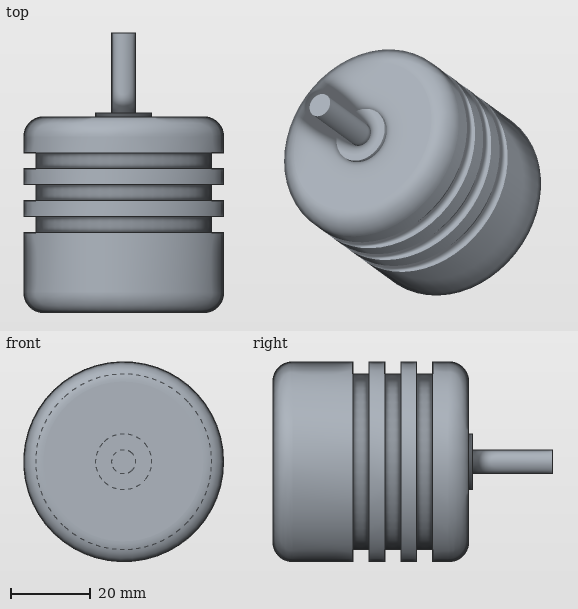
import cadquery as cq

body_diameter = 50.0
body_length = 49.0
body_edge_radius = 5.0

groove_diameter = 44.0
groove_width = 4.0
groove_pitch = 8.0
groove_count = 3
first_groove_start = 20.0

boss_diameter = 14.0
boss_height = 1.0
shaft_diameter = 6.0
shaft_length = 20.0


def cylinder_along_y(diameter, start, length):
    """Solid cylinder on the Y axis, from Y = start towards +Y."""
    base = cq.Workplane("XZ", origin=(0, start, 0))
    return base.circle(diameter / 2).extrude(-length)


def rounded_body():
    """Main cylinder with both end rims rounded."""
    body = cylinder_along_y(body_diameter, 0, body_length)
    return body.edges("%CIRCLE").fillet(body_edge_radius)


def groove_ring(start):
    """Ring of material to remove for one groove."""
    outer = cylinder_along_y(body_diameter, start, groove_width)
    core = cylinder_along_y(groove_diameter, start, groove_width)
    return outer.cut(core)


result = rounded_body()
for index in range(groove_count):
    result = result.cut(groove_ring(first_groove_start + index * groove_pitch))

boss_end = body_length + boss_height
result = result.union(cylinder_along_y(boss_diameter, body_length, boss_height))
result = result.union(cylinder_along_y(shaft_diameter, boss_end, shaft_length))